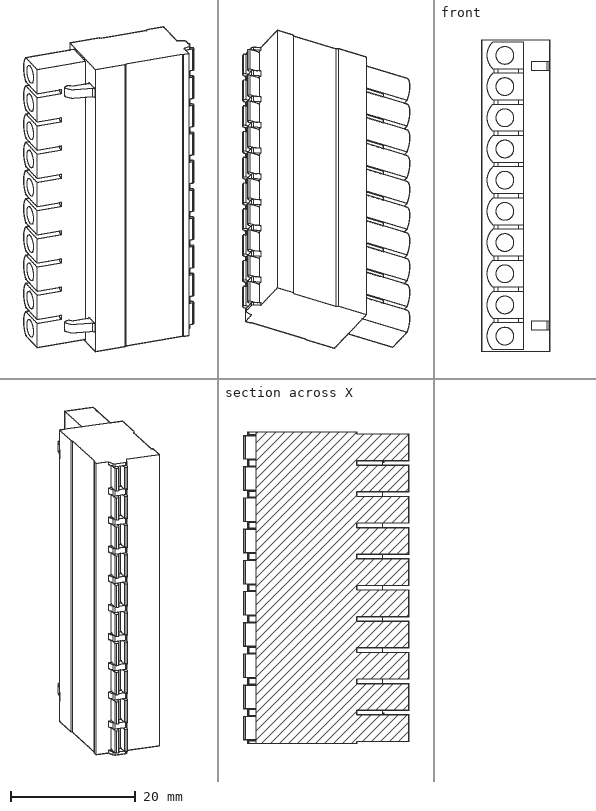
import cadquery as cq

CONTACT_COUNT = 10
PITCH = 5.0
HEIGHT = CONTACT_COUNT * PITCH
TOTAL_DEPTH = 26.5
SLEEVE_LENGTH = 8.35
OVERLAP = 0.25

HOUSING_WIDTH = 10.9
HOUSING_DEPTH = 16.2
LEFT_RECESS_DEPTH = 0.25
RIGHT_RECESS_DEPTH = 0.15
RECESS_FRONT = 5.1
RECESS_FRONT_SLOPE = 0.3
LEFT_RECESS_BACK = 13.3
RIGHT_RECESS_BACK = 15.25
RECESS_BACK_SLOPE = 0.15

SLEEVE_LEFT = 0.85
SLEEVE_RIGHT = 6.7
SLEEVE_HEIGHT = 4.3
SLEEVE_SHOULDER_X = 1.8
WIRE_HOLE_X = 3.7
WIRE_HOLE_DIAMETER = 2.85
WIRE_HOLE_DEPTH = 1.25

WEB_LENGTH = 4.15
LEFT_WEB_START = 2.0
LEFT_WEB_END = 2.6
RIGHT_WEB_START = 5.9

LATCH_WIDTH = 1.5
LATCH_END_MARGIN = 3.45
LATCH_ROOT_LEFT = 8.25
LATCH_LEFT = 8.5
LATCH_RIGHT = 10.45
LATCH_ROOT_RIGHT = 10.8
LATCH_ROOT_BLEND = 0.3

HOOK_BLEND_START = (LATCH_LEFT, -2.65)
HOOK_BLEND_MIDDLE = (8.35, -3.1)
HOOK_POINT = (8.0, -3.3)
HOOK_BEVEL_START = (8.0, -3.7)
TIP_LEFT = (8.35, -4.25)
TIP_MIDDLE = (8.6, -4.35)
TIP_RIGHT = (8.85, -4.25)
HEEL_FRONT = (9.5, -3.8)
HEEL_MIDDLE = (9.7, -3.6)
HEEL_BACK = (9.8, -3.35)

RAIL_BASE_LEFT = 5.65
RAIL_BASE_RIGHT = 8.8
RAIL_TOP_LEFT = 6.15
RAIL_TOP_RIGHT = 8.35
RAIL_HEIGHT = 1.3
RAIL_CHAMFER = 0.2
RAIL_NOTCH_HEIGHT = 4.0
LUG_HEIGHT = 3.8
LUG_TIP_Y = TOTAL_DEPTH - SLEEVE_LENGTH
LEFT_PRONG_WIDTH = 0.55
RIGHT_PRONG_WIDTH = 0.7
PRONG_TIP_LENGTH = 0.3
PRONG_TIP_INSET = 0.15

CONTACT_LEVELS = [PITCH * (i + 0.5) for i in range(CONTACT_COUNT)]


def slab(x_start, x_end, y_start, y_end, z_centre, z_height):
    """Box given by its X and Y limits, centred in height on z_centre."""
    return (
        cq.Workplane("XY")
        .box(x_end - x_start, y_end - y_start, z_height, centered=(False, False, True))
        .translate((x_start, y_start, z_centre))
    )


def recess_cutter(x_face, depth, back):
    """Shallow full-height recess in a side face; a negative depth cuts toward -X."""
    x_floor = x_face + depth
    return (
        cq.Workplane("XY")
        .moveTo(x_face, RECESS_FRONT)
        .lineTo(x_floor, RECESS_FRONT + RECESS_FRONT_SLOPE)
        .lineTo(x_floor, back - RECESS_BACK_SLOPE)
        .lineTo(x_face, back)
        .close()
        .extrude(HEIGHT)
    )


def make_housing():
    """Full-height block with a shallow recess in each side face."""
    block = slab(0, HOUSING_WIDTH, 0, HOUSING_DEPTH, HEIGHT / 2, HEIGHT)
    left_recess = recess_cutter(0, LEFT_RECESS_DEPTH, LEFT_RECESS_BACK)
    right_recess = recess_cutter(HOUSING_WIDTH, -RIGHT_RECESS_DEPTH, RIGHT_RECESS_BACK)
    return block.cut(left_recess).cut(right_recess)


def make_sleeve(z_centre):
    """D-shaped sleeve that runs forward from the housing."""
    z_bottom = z_centre - SLEEVE_HEIGHT / 2
    z_top = z_centre + SLEEVE_HEIGHT / 2
    return (
        cq.Workplane("XZ", origin=(0, OVERLAP, 0))
        .moveTo(SLEEVE_RIGHT, z_bottom)
        .lineTo(SLEEVE_RIGHT, z_top)
        .lineTo(SLEEVE_SHOULDER_X, z_top)
        .threePointArc((SLEEVE_LEFT, z_centre), (SLEEVE_SHOULDER_X, z_bottom))
        .close()
        .extrude(SLEEVE_LENGTH + OVERLAP)
    )


def wire_hole_cutter(z_centre):
    """Round blind hole in the front end of a sleeve."""
    return (
        cq.Workplane("XZ", origin=(WIRE_HOLE_X, -SLEEVE_LENGTH, z_centre))
        .circle(WIRE_HOLE_DIAMETER / 2)
        .extrude(-WIRE_HOLE_DEPTH)
    )


def make_webs(z_centre):
    """The two webs in the gap centred on z_centre; they reach into both sleeves."""
    web_height = PITCH - SLEEVE_HEIGHT + 2 * OVERLAP
    left_web = slab(LEFT_WEB_START, LEFT_WEB_END, -WEB_LENGTH, OVERLAP, z_centre, web_height)
    right_web = slab(RIGHT_WEB_START, SLEEVE_RIGHT, -WEB_LENGTH, OVERLAP, z_centre, web_height)
    return left_web.union(right_web)


def make_latch(z_bottom):
    """Tapered latch finger with a hooked, blunted tip."""
    return (
        cq.Workplane("XY", origin=(0, 0, z_bottom))
        .moveTo(LATCH_ROOT_LEFT, OVERLAP)
        .lineTo(LATCH_ROOT_LEFT, 0)
        .lineTo(LATCH_LEFT, -LATCH_ROOT_BLEND)
        .lineTo(*HOOK_BLEND_START)
        .threePointArc(HOOK_BLEND_MIDDLE, HOOK_POINT)
        .lineTo(*HOOK_BEVEL_START)
        .lineTo(*TIP_LEFT)
        .threePointArc(TIP_MIDDLE, TIP_RIGHT)
        .lineTo(*HEEL_FRONT)
        .threePointArc(HEEL_MIDDLE, HEEL_BACK)
        .lineTo(LATCH_RIGHT, -LATCH_ROOT_BLEND)
        .lineTo(LATCH_ROOT_RIGHT, 0)
        .lineTo(LATCH_ROOT_RIGHT, OVERLAP)
        .close()
        .extrude(LATCH_WIDTH)
    )


def make_rail():
    """Trapezoidal rail along the back face, notched around every contact lug."""
    rail_back = HOUSING_DEPTH + RAIL_HEIGHT
    rail = (
        cq.Workplane("XY")
        .polyline([
            (RAIL_BASE_LEFT, HOUSING_DEPTH - OVERLAP),
            (RAIL_BASE_LEFT, HOUSING_DEPTH),
            (RAIL_TOP_LEFT, rail_back),
            (RAIL_TOP_RIGHT, rail_back),
            (RAIL_BASE_RIGHT, HOUSING_DEPTH),
            (RAIL_BASE_RIGHT, HOUSING_DEPTH - OVERLAP),
        ])
        .close()
        .extrude(HEIGHT)
        .faces(">Y")
        .edges("|Z")
        .chamfer(RAIL_CHAMFER)
    )
    for level in CONTACT_LEVELS:
        rail = rail.cut(
            slab(RAIL_BASE_LEFT, RAIL_BASE_RIGHT, HOUSING_DEPTH, rail_back, level, RAIL_NOTCH_HEIGHT)
        )
    return rail


def make_prong(x_start, x_end, z_centre):
    """Contact prong that narrows at its tip."""
    y_shoulder = LUG_TIP_Y - PRONG_TIP_LENGTH
    return (
        cq.Workplane("XY", origin=(0, 0, z_centre - LUG_HEIGHT / 2))
        .polyline([
            (x_start, HOUSING_DEPTH - OVERLAP),
            (x_start, y_shoulder),
            (x_start + PRONG_TIP_INSET, LUG_TIP_Y),
            (x_end - PRONG_TIP_INSET, LUG_TIP_Y),
            (x_end, y_shoulder),
            (x_end, HOUSING_DEPTH - OVERLAP),
        ])
        .close()
        .extrude(LUG_HEIGHT)
    )


def make_lug(z_centre):
    """Pair of prongs flush with the left and right edges of the rail top."""
    left_prong = make_prong(RAIL_TOP_LEFT, RAIL_TOP_LEFT + LEFT_PRONG_WIDTH, z_centre)
    right_prong = make_prong(RAIL_TOP_RIGHT - RIGHT_PRONG_WIDTH, RAIL_TOP_RIGHT, z_centre)
    return left_prong.union(right_prong)


result = make_housing().union(make_rail())

for contact_level in CONTACT_LEVELS:
    result = result.union(make_sleeve(contact_level)).union(make_lug(contact_level))

for gap in range(1, CONTACT_COUNT):
    result = result.union(make_webs(gap * PITCH))

for contact_level in CONTACT_LEVELS:
    result = result.cut(wire_hole_cutter(contact_level))

for latch_bottom in (LATCH_END_MARGIN, HEIGHT - LATCH_END_MARGIN - LATCH_WIDTH):
    result = result.union(make_latch(latch_bottom))